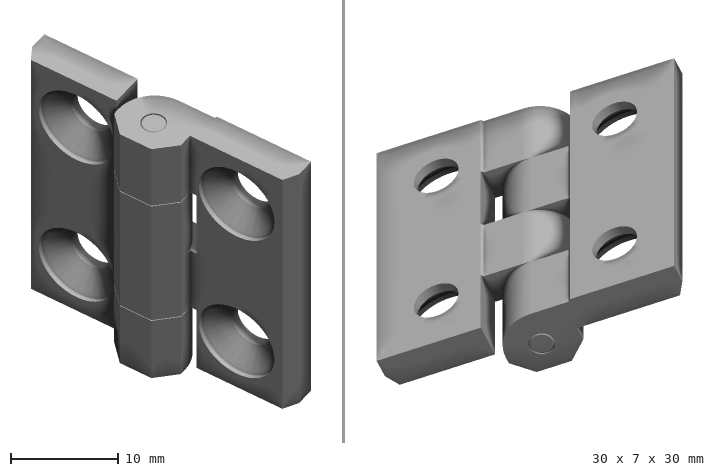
import cadquery as cq
import math

height = 30.0
half_width = 15.0
back_y = 4.0
plate_thickness = 3.5
plate_front_y = back_y - plate_thickness
plate_inner_x = 4.5

edge_slope_depth = 1.5
edge_slope_angle = 60.0
edge_slope_width = edge_slope_depth / math.tan(math.radians(edge_slope_angle))

knuckle_half_width = 3.75
knuckle_back_y = 3.75
knuckle_front_y = -3.0
knuckle_chamfer = 1.98
knuckle_round_radius = 4.08
knuckle_pitch = height / 4
knuckle_gap = 0.1

pin_diameter = 2.5
pin_end_chamfer = 0.15

hole_diameter = 4.5
countersink_diameter = 8.5
countersink_lip = 0.5
countersink_depth = (countersink_diameter - hole_diameter) / 2
hole_x = 9.0
hole_heights = (6.0, height - 6.0)


def make_plate():
    """Flat plate on the +X side, sloped along its outer front edge."""
    return (
        cq.Workplane("XY")
        .moveTo(plate_inner_x, plate_front_y)
        .lineTo(half_width - edge_slope_width, plate_front_y)
        .lineTo(half_width, plate_front_y + edge_slope_depth)
        .lineTo(half_width, back_y)
        .lineTo(plate_inner_x, back_y)
        .close()
        .extrude(height)
    )


def make_knuckle(bottom_z, top_z):
    """Knuckle and the web that joins it to the +X plate."""
    back_step = back_y - knuckle_back_y
    side_y = knuckle_front_y + knuckle_chamfer
    flat_half_width = knuckle_half_width - knuckle_chamfer
    round_center_x = knuckle_round_radius - knuckle_half_width
    round_center_y = knuckle_back_y - knuckle_round_radius
    round_reach = knuckle_round_radius * math.sqrt(0.5)
    round_middle = (round_center_x - round_reach, round_center_y + round_reach)
    return (
        cq.Workplane("XY")
        .workplane(offset=bottom_z)
        .moveTo(plate_inner_x, plate_front_y)
        .lineTo(plate_inner_x, back_y)
        .lineTo(plate_inner_x - back_step, knuckle_back_y)
        .lineTo(round_center_x, knuckle_back_y)
        .threePointArc(round_middle, (-knuckle_half_width, round_center_y))
        .lineTo(-knuckle_half_width, side_y)
        .lineTo(-flat_half_width, knuckle_front_y)
        .lineTo(flat_half_width, knuckle_front_y)
        .lineTo(knuckle_half_width, side_y)
        .lineTo(knuckle_half_width, plate_front_y)
        .close()
        .extrude(top_z - bottom_z)
    )


def make_screw_hole(center_z):
    """Cutter for one hole: short front lip, cone, then a straight bore."""
    lip_y = plate_front_y + countersink_lip
    cone_end_y = lip_y + countersink_depth
    return (
        cq.Workplane("XY")
        .moveTo(0, plate_front_y)
        .lineTo(countersink_diameter / 2, plate_front_y)
        .lineTo(countersink_diameter / 2, lip_y)
        .lineTo(hole_diameter / 2, cone_end_y)
        .lineTo(hole_diameter / 2, back_y)
        .lineTo(0, back_y)
        .close()
        .revolve(360, (0, 0), (0, 1))
        .translate((hole_x, 0, center_z))
    )


def make_leaf(knuckle_spans):
    """One +X hinge leaf with a knuckle on each (bottom, top) span."""
    leaf = make_plate()
    for bottom_z, top_z in knuckle_spans:
        leaf = leaf.union(make_knuckle(bottom_z, top_z))
    for center_z in hole_heights:
        leaf = leaf.cut(make_screw_hole(center_z))
    return leaf


def make_pin():
    """Full-height hinge pin with chamfered ends."""
    return (
        cq.Workplane("XY")
        .circle(pin_diameter / 2)
        .extrude(height)
        .faces("<Z or >Z")
        .chamfer(pin_end_chamfer)
    )


def make_pin_bore():
    """Cutter for the bore that the pin fills."""
    return cq.Workplane("XY").circle(pin_diameter / 2).extrude(height)


right_spans = [(level * knuckle_pitch + knuckle_gap, (level + 1) * knuckle_pitch) for level in (1, 3)]
left_spans = [(level * knuckle_pitch, (level + 1) * knuckle_pitch) for level in (0, 2)]

right_leaf = make_leaf(right_spans).cut(make_pin_bore())

left_leaf = make_leaf(left_spans).mirror("YZ").cut(make_pin_bore()).union(make_pin())

result = cq.Compound.makeCompound([right_leaf.solids().val(), left_leaf.solids().val()])